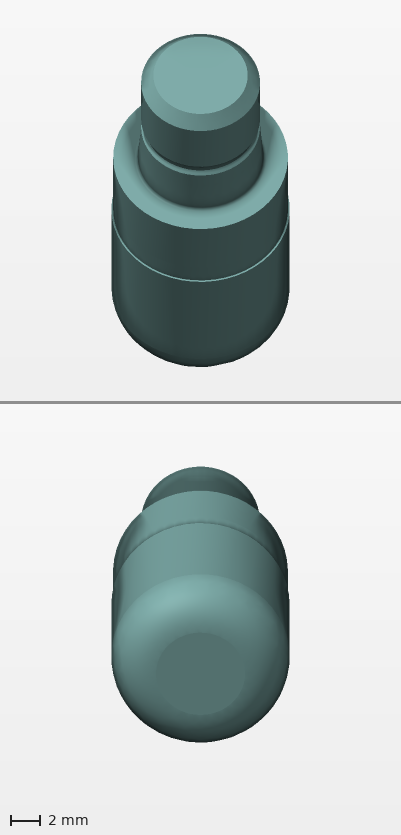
import cadquery as cq

total_height = 27.6
cap_step_height = 12.0
seam_height = 13.5
shoulder_height = 18.0
neck_top_height = 21.58
groove_bottom_height = 21.83
groove_top_height = 22.2
head_bottom_height = 22.6

cap_radius = 12.0 / 2
cap_end_round = 3.0
collar_radius = 5.88
head_radius = 4.0
head_chamfer = 0.83
groove_radius = 3.75
neck_top_radius = 4.0
neck_base_radius = 4.22
neck_base_flare = 0.22


def make_cap():
    """Rounded lower body with a short, narrower rim at its top."""
    barrel = cq.Workplane("XY").circle(cap_radius).extrude(cap_step_height)
    barrel = barrel.faces("<Z").edges().fillet(cap_end_round)
    rim = (
        cq.Workplane("XY")
        .workplane(offset=cap_step_height)
        .circle(collar_radius)
        .extrude(seam_height - cap_step_height)
    )
    return barrel.union(rim)


def make_stud():
    """Turned upper body: collar, flared neck, groove and chamfered head."""
    flare_height = shoulder_height + neck_base_flare
    flare_radius = neck_base_radius + neck_base_flare
    arc_offset = neck_base_flare * 0.5**0.5
    arc_middle = (flare_radius - arc_offset, flare_height - arc_offset)
    return (
        cq.Workplane("XZ")
        .moveTo(0, seam_height)
        .lineTo(collar_radius, seam_height)
        .lineTo(collar_radius, shoulder_height)
        .lineTo(flare_radius, shoulder_height)
        .threePointArc(arc_middle, (neck_base_radius, flare_height))
        .lineTo(neck_top_radius, neck_top_height)
        .lineTo(groove_radius, groove_bottom_height)
        .lineTo(groove_radius, groove_top_height)
        .lineTo(head_radius, head_bottom_height)
        .lineTo(head_radius, total_height - head_chamfer)
        .lineTo(head_radius - head_chamfer, total_height)
        .lineTo(0, total_height)
        .close()
        .revolve(360, (0, 0, 0), (0, 1, 0))
    )


cap = make_cap()
stud = make_stud()

result = cq.Compound.makeCompound([cap.val(), stud.val()])